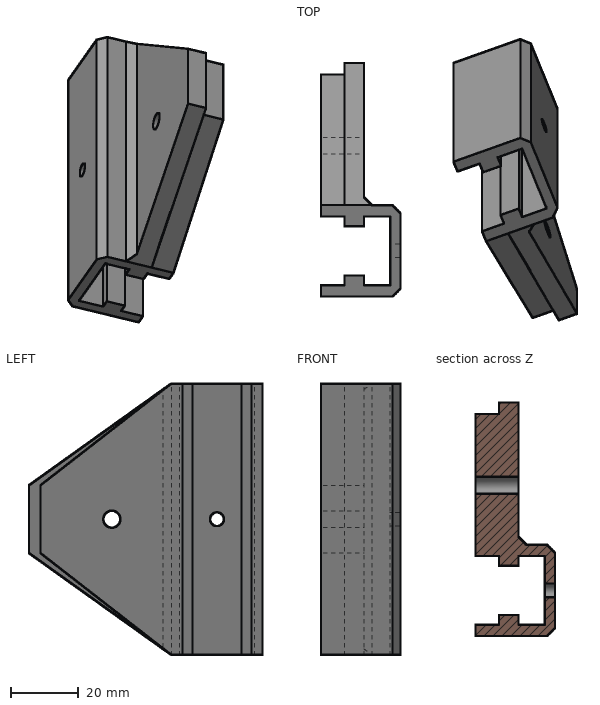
import cadquery as cq

width = 23.5
height = 80.0
total_depth = 69.0
channel_depth = 27.0
wall = 3.4
web = 3.1
corner_chamfer = 2.4

rib_start = 7.0
rib_width = 5.8
rib_height = 2.9

flange_tip_height = 20.0
pad_setback = 3.4
brace_leg = 2.4

flange_hole_diameter = 5.0
flange_hole_y = 44.5
web_hole_diameter = 4.0

rib_end = rib_start + rib_width
mid_z = height / 2


def box(x_start, x_end, y_start, y_end):
    """Full-height block between the given X and Y limits."""
    return (
        cq.Workplane("XY")
        .box(x_end - x_start, y_end - y_start, height, centered=False)
        .translate((x_start, y_start, 0))
    )


def channel():
    outer = box(0, width, 0, channel_depth).edges("|Z and >X").chamfer(corner_chamfer)
    body = outer.cut(box(0, width - web, wall, channel_depth - wall))
    far_wall = channel_depth - wall
    body = body.union(box(rib_start, rib_end, wall, wall + rib_height))
    return body.union(box(rib_start, rib_end, far_wall - rib_height, far_wall))


def flange_layer(x_start, x_end, tip_y):
    """Trapezoid tapering from the full channel height to the tip."""
    half_tip = flange_tip_height / 2
    return (
        cq.Workplane("YZ")
        .workplane(offset=x_start)
        .polyline([
            (channel_depth, 0),
            (tip_y, mid_z - half_tip),
            (tip_y, mid_z + half_tip),
            (channel_depth, height),
        ])
        .close()
        .extrude(x_end - x_start)
    )


def corner_brace():
    """Triangular strip in the corner between flange and channel, trimmed to the flange taper."""
    strip = (
        cq.Workplane("XY")
        .polyline([
            (rib_end, channel_depth),
            (rib_end + brace_leg, channel_depth),
            (rib_end, channel_depth + brace_leg),
        ])
        .close()
        .extrude(height)
    )
    return strip.intersect(flange_layer(rib_end, rib_end + brace_leg, total_depth))


def hole(x_start, x_end, y, diameter):
    return (
        cq.Workplane("YZ")
        .workplane(offset=x_start)
        .center(y, mid_z)
        .circle(diameter / 2)
        .extrude(x_end - x_start)
    )


result = (
    channel()
    .union(flange_layer(0, rib_start, total_depth - pad_setback))
    .union(flange_layer(rib_start, rib_end, total_depth))
    .union(corner_brace())
    .cut(hole(0, rib_end, flange_hole_y, flange_hole_diameter))
    .cut(hole(width - web, width, channel_depth / 2, web_hole_diameter))
)